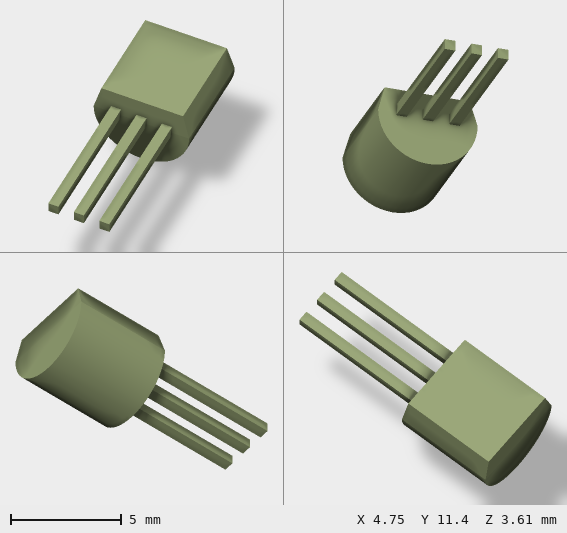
import cadquery as cq

total_length = 11.43
body_width = 4.75
body_length = 4.82
body_radius = body_width / 2

cap_height = 1.23
cap_side_inset = 0.34
cap_end_inset = 0.09

lead_count = 3
lead_size = 0.5
lead_pitch = 1.27
lead_center_z = 0.1
lead_embed = 0.23
lead_length = total_length - body_length


def make_round_half():
    """Half cylinder below Z = 0, centred on the origin along Y."""
    return (
        cq.Workplane("XZ", origin=(0, body_length / 2, 0))
        .moveTo(-body_radius, 0)
        .threePointArc((0, -body_radius), (body_radius, 0))
        .close()
        .extrude(body_length)
    )


def make_tapered_half():
    """Frustum rising from Z = 0 to the flat face."""
    return (
        cq.Workplane("XY")
        .rect(body_width, body_length)
        .workplane(offset=cap_height)
        .rect(body_width - 2 * cap_side_inset, body_length - 2 * cap_end_inset)
        .loft(ruled=True)
    )


def make_lead(x):
    """Square lead running from inside the body out toward -Y."""
    return (
        cq.Workplane("XZ", origin=(x, lead_embed - body_length / 2, lead_center_z))
        .rect(lead_size, lead_size)
        .extrude(lead_embed + lead_length)
    )


result = make_round_half().union(make_tapered_half())
for index in range(lead_count):
    lead_x = (index - (lead_count - 1) / 2) * lead_pitch
    result = result.union(make_lead(lead_x))